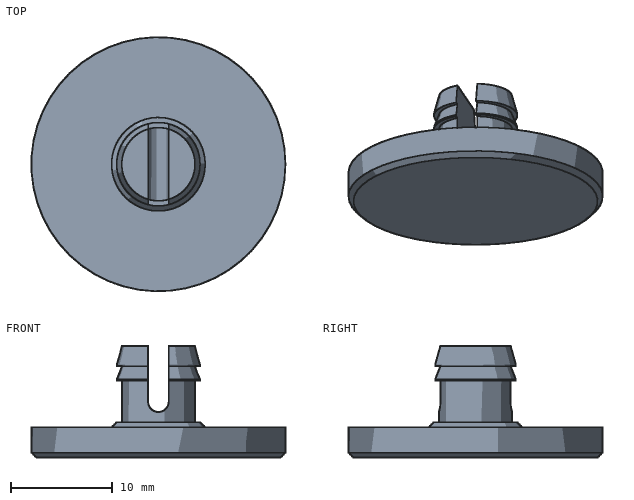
import cadquery as cq

disc_radius = 12.5
disc_height = 3.0
disc_chamfer = 0.5

collar_bottom_radius = 4.6
collar_top_radius = 4.1
collar_height = 0.5

stem_radius = 3.6
total_height = 11.0
barb_radius = 4.1
barb_rim_height = 0.15
lower_barb_bottom = 7.55
upper_barb_bottom = 9.0

slot_width = 2.0
slot_bottom = 4.5


def make_disc():
    disc = cq.Workplane("XY").circle(disc_radius).extrude(disc_height)
    return disc.faces("<Z").chamfer(disc_chamfer)


def make_collar():
    return (
        cq.Workplane("XY", origin=(0, 0, disc_height))
        .circle(collar_bottom_radius)
        .workplane(offset=collar_height)
        .circle(collar_top_radius)
        .loft(ruled=True)
    )


def make_stem():
    profile = [
        (0, 0),
        (stem_radius, 0),
        (stem_radius, lower_barb_bottom),
        (barb_radius, lower_barb_bottom),
        (barb_radius, lower_barb_bottom + barb_rim_height),
        (stem_radius, upper_barb_bottom),
        (barb_radius, upper_barb_bottom),
        (barb_radius, upper_barb_bottom + barb_rim_height),
        (stem_radius, total_height),
        (0, total_height),
    ]
    return cq.Workplane("XZ").polyline(profile).close().revolve(360, (0, 0, 0), (0, 1, 0))


def make_slot():
    half_width = slot_width / 2
    arc_center = slot_bottom + half_width
    return (
        cq.Workplane("XZ")
        .moveTo(-half_width, total_height)
        .lineTo(-half_width, arc_center)
        .threePointArc((0, slot_bottom), (half_width, arc_center))
        .lineTo(half_width, total_height)
        .close()
        .extrude(barb_radius * 2, both=True)
    )


result = make_disc().union(make_collar()).union(make_stem()).cut(make_slot())